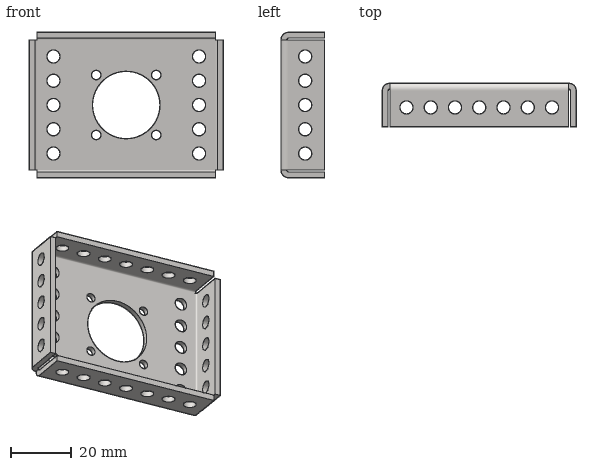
import cadquery as cq

length = 64.0
depth = 14.4
height = 48.0

thickness = 2.0
inner_bend_radius = 0.5
outer_bend_radius = thickness + inner_bend_radius

hole_pitch = 8.0
hole_diameter = 4.2
holes_along_x = 7
holes_along_z = 5

opening_diameter = 22.15
screw_diameter = 3.0
screw_spacing = 19.8

plate_length = length - 2 * outer_bend_radius
plate_height = height - 2 * outer_bend_radius

back = depth / 2
front = -depth / 2
plate_front = back - thickness
bend_start = back - outer_bend_radius
flange_hole_y = back - hole_pitch


def folded_flange(reach, width, hole_count):
    """Flange on the +X side: bend plus wall, outer face at x = reach, width along Z."""
    bend_x = reach - outer_bend_radius
    inner_x = reach - thickness
    mid_bend = 0.5 ** 0.5
    profile = (
        cq.Workplane("XY")
        .workplane(offset=-width / 2)
        .moveTo(bend_x, back)
        .threePointArc(
            (bend_x + outer_bend_radius * mid_bend, bend_start + outer_bend_radius * mid_bend),
            (reach, bend_start),
        )
        .lineTo(reach, front)
        .lineTo(inner_x, front)
        .lineTo(inner_x, bend_start)
        .threePointArc(
            (bend_x + inner_bend_radius * mid_bend, bend_start + inner_bend_radius * mid_bend),
            (bend_x, plate_front),
        )
        .close()
    )
    flange = profile.extrude(width)
    holes = (
        cq.Workplane("YZ")
        .workplane(offset=bend_x)
        .center(flange_hole_y, 0)
        .rarray(hole_pitch, hole_pitch, 1, hole_count)
        .circle(hole_diameter / 2)
        .extrude(outer_bend_radius)
    )
    return flange.cut(holes)


def plate_holes(x_spacing, z_spacing, x_count, z_count, diameter):
    """Cylinders through the back plate on a centred rectangular grid."""
    return (
        cq.Workplane("XZ", origin=(0, back, 0))
        .rarray(x_spacing, z_spacing, x_count, z_count)
        .circle(diameter / 2)
        .extrude(thickness)
    )


column_spacing = (holes_along_x - 1) * hole_pitch
plate = (
    cq.Workplane("XZ", origin=(0, back, 0))
    .rect(plate_length, plate_height)
    .circle(opening_diameter / 2)
    .extrude(thickness)
    .cut(plate_holes(screw_spacing, screw_spacing, 2, 2, screw_diameter))
    .cut(plate_holes(column_spacing, hole_pitch, 2, holes_along_z, hole_diameter))
)

side_flange = folded_flange(length / 2, plate_height, holes_along_z)
top_flange = folded_flange(height / 2, plate_length, holes_along_x).rotate((0, 0, 0), (0, 1, 0), -90)

result = plate
for flange, mirror_plane in ((side_flange, "YZ"), (top_flange, "XY")):
    result = result.union(flange).union(flange.mirror(mirror_plane))